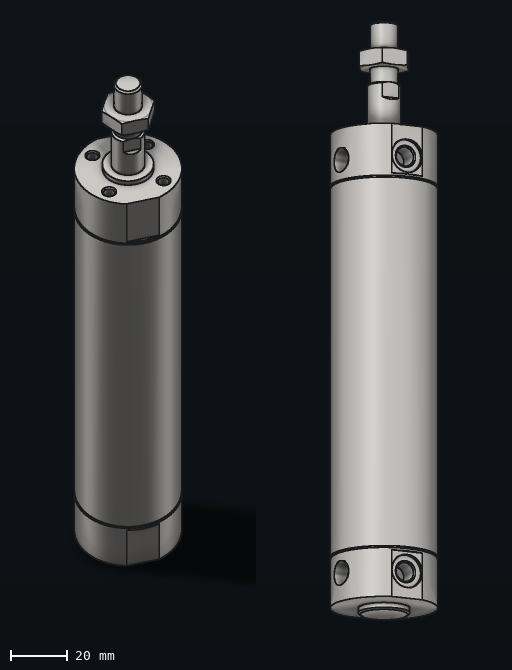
import cadquery as cq
import math


total_height = 213.0
tube_diameter = 38.0
rear_face = 2.3
front_face = 173.0

collar_diameter = 18.0
front_collar_height = 2.0
rear_collar_chamfer = 0.6

seam_width = 0.6
seam_depth = 0.2
front_cover_length = 18.7
rear_cover_length = 17.7

flat_width = 12.0
front_flat_length = 17.9
rear_flat_length = 16.8

front_port_inset = 11.0
rear_port_inset = 9.8
spotface_diameter = 12.0
spotface_depth = 1.3
port_mouth_diameter = 7.9
port_diameter = 6.8
port_depth = 8.0

needle_diameter = 8.7
needle_depth = 6.4
needle_angle = 9.0
needle_shift = 0.5

mount_diameter = 4.0
mount_mouth_diameter = 5.1
mount_spacing = 20.0
mount_depth = 8.0

rod_diameter = 12.0
shoulder_height = 0.6
thread_diameter = 10.0
thread_tip_diameter = 8.5
thread_length = 22.5
wrench_flat_length = 5.0

nut_width = 17.0
nut_height = 6.0
nut_base = 196.5
nut_bevel_angle = 15.0

tube_radius = tube_diameter / 2
flat_offset = math.sqrt(tube_radius**2 - (flat_width / 2) ** 2)
front_port_z = front_face - front_port_inset
rear_port_z = rear_face + rear_port_inset
nut_corner_diameter = 2 * nut_width / math.sqrt(3)
thread_base = total_height - thread_length
rod_base = front_face - front_cover_length


def cylinder(diameter, base, height):
    """Upright cylinder on the Z axis."""
    return cq.Workplane("XY").workplane(offset=base).circle(diameter / 2).extrude(height)


def cone(bottom_diameter, top_diameter, base, height):
    """Upright truncated cone on the Z axis."""
    return cq.Workplane(
        cq.Solid.makeCone(bottom_diameter / 2, top_diameter / 2, height, cq.Vector(0, 0, base))
    )


def chamfered_hole(diameter, mouth_diameter, depth):
    """Cutter for a blind hole going down from the origin, with a 45 degree chamfer at its mouth."""
    chamfer = (mouth_diameter - diameter) / 2
    hole = cylinder(diameter, -depth, depth)
    return hole.union(cone(diameter, mouth_diameter, -chamfer, chamfer))


def seam_groove(base):
    ring = cylinder(tube_diameter, base, seam_width)
    return ring.cut(cylinder(tube_diameter - 2 * seam_depth, base, seam_width))


def cover_flats(base, length):
    """Material outside the two flats of one end cover."""
    ring = cylinder(2 * tube_diameter, base, length)
    core = cq.Workplane("XY").workplane(offset=base).rect(2 * flat_offset, tube_diameter).extrude(length)
    return ring.cut(core)


def port(z):
    """Cutter for a spotfaced air port entering the -X flat."""
    spotface = cylinder(spotface_diameter, -spotface_depth, spotface_depth)
    hole = chamfered_hole(port_diameter, port_mouth_diameter, port_depth)
    cutter = spotface.union(hole.translate((0, 0, -spotface_depth)))
    return cutter.rotate((0, 0, 0), (0, 1, 0), -90).translate((-flat_offset, 0, z))


def needle_hole(z):
    """Cutter for a radial hole turned from +Y towards -X by the needle angle."""
    cutter = cylinder(needle_diameter, tube_radius - needle_depth, 2 * needle_depth)
    along_y = cutter.rotate((0, 0, 0), (1, 0, 0), -90)
    return along_y.rotate((0, 0, 0), (0, 0, 1), needle_angle).translate((0, 0, z))


def make_housing():
    body = cylinder(tube_diameter, rear_face, front_face - rear_face)

    rear_collar = cylinder(collar_diameter, 0, rear_face).faces("<Z").chamfer(rear_collar_chamfer)
    body = body.union(rear_collar)
    body = body.union(cylinder(collar_diameter, front_face, front_collar_height))

    body = body.cut(seam_groove(rear_face + rear_cover_length))
    body = body.cut(seam_groove(front_face - front_cover_length - seam_width))
    body = body.cut(cover_flats(rear_face, rear_flat_length))
    body = body.cut(cover_flats(front_face - front_flat_length, front_flat_length))

    body = body.cut(port(rear_port_z)).cut(port(front_port_z))
    body = body.cut(needle_hole(rear_port_z + needle_shift))
    body = body.cut(needle_hole(front_port_z - needle_shift))

    mount = chamfered_hole(mount_diameter, mount_mouth_diameter, mount_depth)
    for x in (-mount_spacing / 2, mount_spacing / 2):
        for y in (-mount_spacing / 2, mount_spacing / 2):
            body = body.cut(mount.translate((x, y, front_face)))

    return body.cut(cylinder(rod_diameter, rod_base, front_face + front_collar_height - rod_base))


def wrench_flat(side):
    """Cutter for a flat level with the thread, ending in a 45 degree ramp; side is -1 or +1."""
    inner = side * thread_diameter / 2
    outer = side * rod_diameter / 2
    top = thread_base + shoulder_height
    bottom = thread_base - wrench_flat_length
    ramp = (rod_diameter - thread_diameter) / 2
    profile = [(inner, top), (outer, top), (outer, bottom - ramp), (inner, bottom)]
    return cq.Workplane("XZ").polyline(profile).close().extrude(rod_diameter / 2, both=True)


def make_rod():
    shank = cylinder(rod_diameter, rod_base, thread_base - rod_base)
    shoulder = cone(rod_diameter, thread_diameter, thread_base, shoulder_height)
    tip_chamfer = (thread_diameter - thread_tip_diameter) / 2
    thread = cylinder(thread_diameter, thread_base, thread_length).faces(">Z").chamfer(tip_chamfer)
    rod = shank.union(shoulder).union(thread)
    for side in (-1, 1):
        rod = rod.cut(wrench_flat(side))
    return rod


def make_nut():
    quarter_turn = 90
    hexagon = (
        cq.Workplane("XY")
        .workplane(offset=nut_base)
        .polygon(6, nut_corner_diameter)
        .extrude(nut_height)
        .rotate((0, 0, 0), (0, 0, 1), quarter_turn)
    )
    bevel_width = (nut_corner_diameter - nut_width) / 2
    bevel_height = bevel_width * math.tan(math.radians(nut_bevel_angle))
    disc = cylinder(nut_corner_diameter, nut_base, nut_height)
    disc = disc.faces("<Z or >Z").chamfer(bevel_height, bevel_width)
    return hexagon.intersect(disc).cut(cylinder(thread_diameter, nut_base, nut_height))


housing = make_housing()
rod = make_rod()
nut = make_nut()

result = cq.Compound.makeCompound([housing.solids().val(), rod.solids().val(), nut.solids().val()])